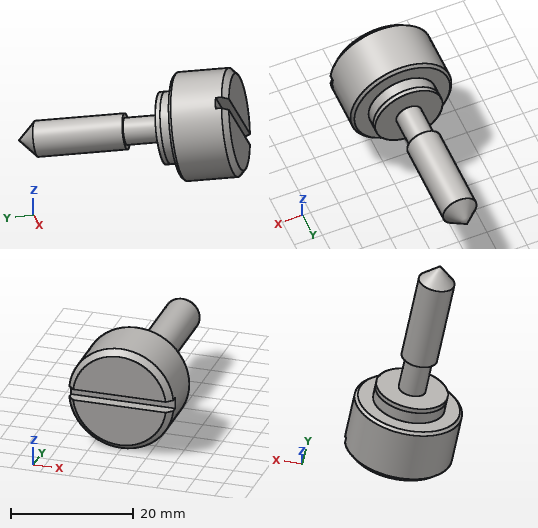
import cadquery as cq

overall_length = 37.0
head_length = 10.0
boss_length = 2.0
washer_thickness = 0.8
shank_length = 15.0
tip_length = 3.0

head_diameter = 18.0
boss_diameter = 12.0
neck_diameter = 4.5
shank_diameter = 6.0

front_chamfer = 1.0
rear_chamfer = 0.48
slot_width = 1.92
slot_depth = 2.0

boss_end = head_length + boss_length
tip_start = overall_length - tip_length
shank_start = tip_start - shank_length


def cylinder_along_y(diameter, start, length):
    """Round bar on the Y axis, running towards +Y from the given station."""
    plane = cq.Workplane("XZ", origin=(0, start, 0))
    return plane.circle(diameter / 2).extrude(-length)


def make_head():
    """Knob with chamfered rims and a driver slot right across its face."""
    head = cylinder_along_y(head_diameter, 0, head_length)
    head = head.faces("<Y").chamfer(front_chamfer)
    head = head.faces(">Y").chamfer(rear_chamfer)
    slot = cq.Workplane("XY").box(
        head_diameter, slot_depth, slot_width, centered=(True, False, True)
    )
    return head.cut(slot)


def make_tip():
    """Pointed cone at the free end of the shank."""
    tip = cq.Solid.makeCone(
        shank_diameter / 2, 0, tip_length,
        pnt=cq.Vector(0, tip_start, 0), dir=cq.Vector(0, 1, 0),
    )
    return cq.Workplane(tip)


def make_screw():
    """Captive thumb screw: head, boss, thin neck, shank and tip."""
    boss = cylinder_along_y(boss_diameter, head_length, boss_length)
    neck = cylinder_along_y(neck_diameter, boss_end, shank_start - boss_end)
    shank = cylinder_along_y(shank_diameter, shank_start, shank_length)
    return make_head().union(boss).union(neck).union(shank).union(make_tip())


def make_washer():
    """Flat ring around the neck, resting on the boss and flush with its rim."""
    washer = cylinder_along_y(boss_diameter, boss_end, washer_thickness)
    bore = cylinder_along_y(neck_diameter, boss_end, washer_thickness)
    return washer.cut(bore)


screw = make_screw()
washer = make_washer()

result = cq.Compound.makeCompound([screw.val(), washer.val()])